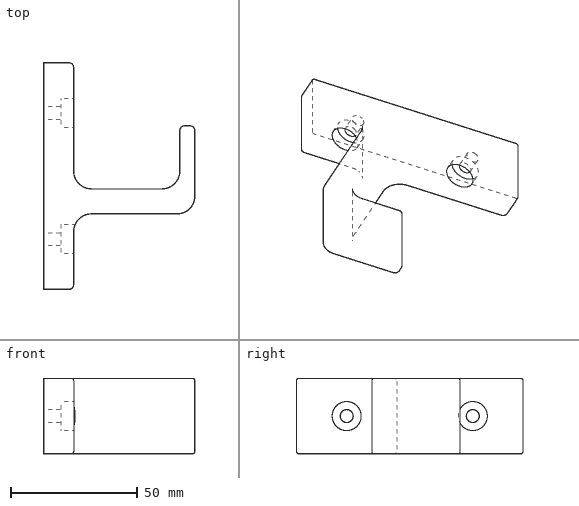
import cadquery as cq

plate_length = 90.0
plate_thickness = 12.0
width = 30.0

reach = 60.0
arm_bottom = 30.0
arm_thickness = 10.0
lip_thickness = 6.0
lip_end = 65.0
arm_top = arm_bottom + arm_thickness
lip_inner = reach - lip_thickness

bend_radius = 7.0
corner_radius = 2.0
edge_radius = 1.0

hole_diameter = 5.0
hole_end_distance = 20.0
counterbore_diameter = 11.5
counterbore_depth = 5.0


def hook_body():
    """Extruded plate and hook outline with rounded upright corners."""
    outline = [
        (0, 0),
        (plate_thickness, 0),
        (plate_thickness, arm_bottom),
        (reach, arm_bottom),
        (reach, lip_end),
        (lip_inner, lip_end),
        (lip_inner, arm_top),
        (plate_thickness, arm_top),
        (plate_thickness, plate_length),
        (0, plate_length),
    ]
    bends = [
        (plate_thickness, arm_bottom),
        (reach, arm_bottom),
        (lip_inner, arm_top),
        (plate_thickness, arm_top),
    ]
    ends = [
        (plate_thickness, 0),
        (plate_thickness, plate_length),
        (reach, lip_end),
        (lip_inner, lip_end),
    ]
    body = cq.Workplane("XY").polyline(outline).close().extrude(width)
    body = round_corners(body, bends, bend_radius)
    return round_corners(body, ends, corner_radius)


def round_corners(body, corners, radius):
    """Fillet the upright edges standing at the given XY corners."""
    for x, y in corners:
        upright = cq.selectors.NearestToPointSelector((x, y, width / 2))
        body = body.edges("|Z").edges(upright).fillet(radius)
    return body


def round_rims(body):
    """Round both side-face rims except along the flat wall face."""
    wall_edges = body.faces("<X").edges()
    rim = body.faces("<Z or >Z").edges().vals()
    kept = [edge for edge in rim if not any(edge.isSame(wall) for wall in wall_edges.vals())]
    return body.newObject(kept).fillet(edge_radius)


def screw_cutter(y):
    """Through hole and counterbore, cleared past the root fillets."""
    start = cq.Workplane("YZ").center(y, width / 2)
    hole = start.circle(hole_diameter / 2).extrude(plate_thickness)
    seat = start.workplane(offset=plate_thickness - counterbore_depth)
    clearance = counterbore_depth + bend_radius
    return hole.union(seat.circle(counterbore_diameter / 2).extrude(clearance))


result = round_rims(hook_body())
for hole_y in (hole_end_distance, plate_length - hole_end_distance):
    result = result.cut(screw_cutter(hole_y))